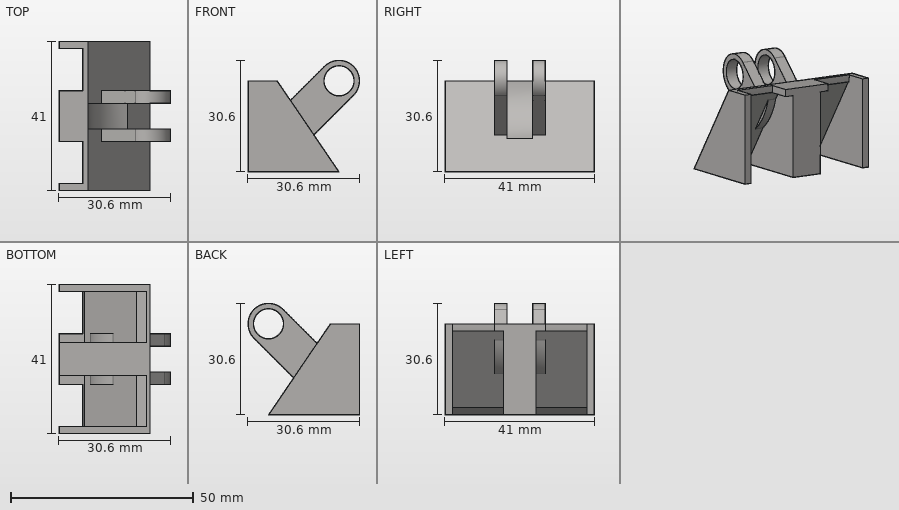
import cadquery as cq
import math

body_size = 25.0
body_width = 41.0
ledge_depth = 8.0
wall = 2.0

top_strip = 1.5
bottom_lip = 1.0
post_width = 9.0
clevis_width = 14.0

pivot_x = body_size
pivot_z = body_size
pin_diameter = 8.2
lug_radius = 5.64
lug_gap = 7.0
lug_angle = 45.0
swing_radius = pivot_x - ledge_depth

slope_run = body_size - ledge_depth
slope_length = math.hypot(slope_run, body_size)
wall_shift = wall * slope_length / body_size


def slope_x(z):
    """X of the sloped outer face at height z."""
    return body_size - slope_run * z / body_size


def strip_back_x(z):
    """X of the back of the top strip, which is round about the pivot, at height z."""
    radius = swing_radius + top_strip
    return pivot_x - math.sqrt(radius**2 - (pivot_z - z) ** 2)


def centered_plate(outline, width):
    """Extrude a closed XZ outline by width, centred on Y = 0."""
    return outline.extrude(width / 2, both=True)


def polygon_plate(points, width):
    return centered_plate(cq.Workplane("XZ").polyline(points).close(), width)


def pivot_cylinder(radius, width):
    """Cylinder about the pivot axis, centred on Y = 0."""
    circle = cq.Workplane("XZ").center(pivot_x, pivot_z).circle(radius)
    return centered_plate(circle, width)


wedge_points = [(0, 0), (body_size, 0), (ledge_depth, body_size), (0, body_size)]


def hollow_wedge():
    """Wedge opened from the back and below, leaving side walls and a sloped wall."""
    top = body_size - wall
    cavity_outline = (
        cq.Workplane("XZ")
        .moveTo(0, 0)
        .lineTo(body_size - bottom_lip, 0)
        .lineTo(slope_x(wall) - wall_shift, wall)
        .lineTo(slope_x(top) - wall_shift, top)
        .lineTo(strip_back_x(top), top)
        .threePointArc(
            (strip_back_x(body_size - wall / 2), body_size - wall / 2),
            (strip_back_x(body_size), body_size),
        )
        .lineTo(0, body_size)
        .close()
    )
    cavity = centered_plate(cavity_outline, body_width - 2 * wall)
    return polygon_plate(wedge_points, body_width).cut(cavity)


def center_post():
    return polygon_plate(wedge_points, post_width)


def top_plate():
    plate_box = cq.Workplane("XY").box(ledge_depth, clevis_width, wall, centered=(False, True, False))
    return plate_box.translate((0, 0, body_size - wall))


def lug_backing():
    """Round pad behind the sloped wall that carries the lugs."""
    return polygon_plate(wedge_points, clevis_width).intersect(pivot_cylinder(swing_radius, clevis_width))


def lugs():
    """Bars from inside the wedge up to round ends about the pivot."""
    bar = (
        cq.Workplane("XY")
        .box(swing_radius, clevis_width, 2 * lug_radius)
        .translate((-swing_radius / 2, 0, 0))
        .rotate((0, 0, 0), (0, 1, 0), -lug_angle)
        .translate((pivot_x, 0, pivot_z))
        .intersect(pivot_cylinder(swing_radius, clevis_width))
    )
    return bar.union(pivot_cylinder(lug_radius, clevis_width))


result = (
    hollow_wedge()
    .union(center_post())
    .union(top_plate())
    .union(lug_backing())
    .union(lugs())
    .cut(pivot_cylinder(swing_radius, lug_gap))
    .cut(pivot_cylinder(pin_diameter / 2, clevis_width))
)